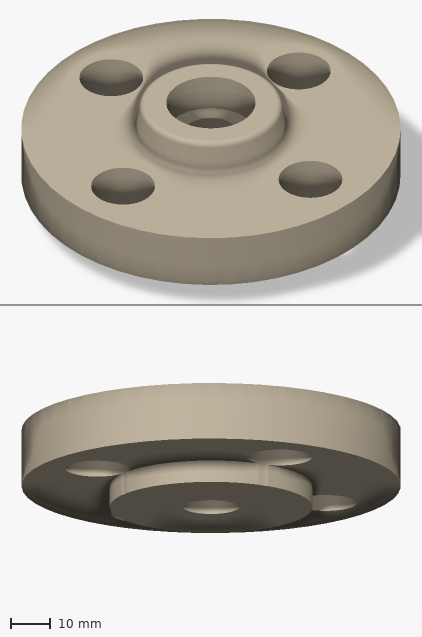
import cadquery as cq

FLANGE_DIAMETER = 95.2
FLANGE_THICKNESS = 14.4

FACE_DIAMETER = 50.9
FACE_HEIGHT = 5.5

HUB_HEIGHT = 8.0
HUB_BASE_DIAMETER = 38.1
HUB_TOP_DIAMETER = 35.3
HUB_FILLET = 1.5

SOCKET_DIAMETER = 22.4
SOCKET_DEPTH = 9.6
BORE_DIAMETER = 13.9

BOLT_COUNT = 4
BOLT_DIAMETER = 16.0
BOLT_CIRCLE_DIAMETER = 66.7

DISC_BOTTOM = FACE_HEIGHT
DISC_TOP = DISC_BOTTOM + FLANGE_THICKNESS
HUB_TOP = DISC_TOP + HUB_HEIGHT


def cylinder(diameter, bottom, top):
    """Upright cylinder on the Z axis between two levels."""
    return cq.Workplane("XY").workplane(offset=bottom).circle(diameter / 2).extrude(top - bottom)


def tapered_hub():
    """Cone frustum that narrows upward from the disc."""
    return (
        cq.Workplane("XY")
        .workplane(offset=DISC_TOP)
        .circle(HUB_BASE_DIAMETER / 2)
        .workplane(offset=HUB_HEIGHT)
        .circle(HUB_TOP_DIAMETER / 2)
        .loft(ruled=True)
    )


def flange_blank():
    """Disc, raised face and hub, with the hub rounded at its rim and its root."""
    blank = cylinder(FLANGE_DIAMETER, DISC_BOTTOM, DISC_TOP)
    blank = blank.union(cylinder(FACE_DIAMETER, 0, DISC_BOTTOM))
    blank = blank.union(tapered_hub())
    hub_rim = cq.selectors.RadiusNthSelector(0)
    hub_root = cq.selectors.RadiusNthSelector(1)
    return blank.edges("%CIRCLE").edges(hub_rim + hub_root).fillet(HUB_FILLET)


def stepped_bore():
    """Pipe socket and through bore as one cutting body."""
    socket = cylinder(SOCKET_DIAMETER, HUB_TOP - SOCKET_DEPTH, HUB_TOP)
    return socket.union(cylinder(BORE_DIAMETER, 0, HUB_TOP))


def bolt_holes():
    """Ring of cutting cylinders through face and disc, starting on the X axis."""
    return (
        cq.Workplane("XY")
        .polarArray(BOLT_CIRCLE_DIAMETER / 2, 0, 360, BOLT_COUNT)
        .circle(BOLT_DIAMETER / 2)
        .extrude(DISC_TOP)
    )


result = flange_blank().cut(stepped_bore()).cut(bolt_holes())